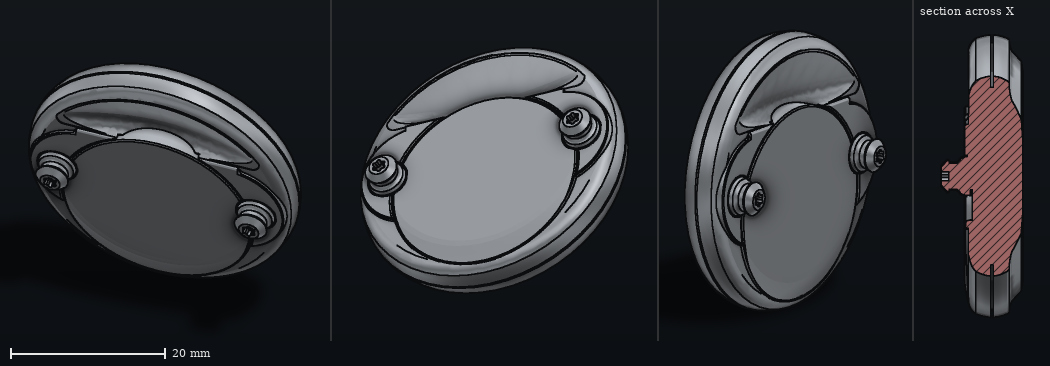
import cadquery as cq
import math


rim_radius = 18.335
shoulder_radius = 17.9
groove_floor_radius = 17.3
groove_width = 0.3
back_y = 4.01
back_flat_radius = 13.65
back_edge_radius = 14.9
back_edge_y = 3.8
back_step_radius = 16.2
back_step_y = 2.6
back_lip_radius = 17.7
back_lip_y = 2.25
back_step_sag = 0.1
back_shoulder_y = 1.95
front_shoulder_y = -2.1
front_radius = 16.45
front_y = -3.1
front_dome_sag = 0.16
rim_sag = 0.08

pad_y = -3.58
pad_root_y = -1.6
pad_height = pad_root_y - pad_y
ear_radius = 7.75
ear_offset = 9.94
ear_draft = 12.0
ear_chamfer = 0.15
bridge_half_width = 11.0
bridge_top_z = 9.0
ear_blend_radius = 0.8

scoop_rim_radius = 17.3
scoop_center_z = -1.1
scoop_slope = 2.5
scoop_bottom_z = 8.0
scoop_fillet = 1.97
scoop_bevel_width = 0.44
scoop_bevel_depth = 0.07
scoop_corner_radius = 1.2
scoop_lip_radius = 0.4
scoop_lip_half_width = 11.85

door_radius = 12.85
door_center_z = -3.8
door_chamfer = 0.2
door_root_y = 0.0
door_flat_radius = 13.4
door_crown_radius = 14.2
door_crown_y = -3.53
door_crown_sag = 0.02
door_gap = 0.2
door_gap_depth = 1.0

pin_offset = 13.53
pin_tip_y = -6.62
pin_recess_radius = 2.75
pin_recess_depth = 0.3
pin_root_y = -2.78
collar_base_radius = 2.6
collar_radius = 2.5
collar_straight_y = -3.8
collar_shoulder_radius = 2.38
collar_shoulder_y = -4.1
collar_round_sag = 0.06
neck_radius = 1.85
neck_y = -4.6
head_y = -5.52
head_ledge_radius = 2.06
head_radius = 2.2
head_widest_y = -5.8
tip_radius = 1.35

socket_core_radius = 0.72
socket_lobe_radius = 0.22
socket_lobe_offset = 0.68
socket_lobes = 6
socket_depth = 1.0

clearance = 1.0


def revolve_about_y(outline):
    return outline.close().revolve(360, (0, 0, 0), (0, 1, 0))


def disc(radius, x, z, start_y, end_y):
    """Cylinder along Y from start_y forward to end_y."""
    plane = cq.Workplane("XZ", origin=(x, start_y, z))
    return plane.circle(radius).extrude(start_y - end_y)


def make_housing():
    half_groove = groove_width / 2
    outline = (
        cq.Workplane("XY")
        .moveTo(0, back_y)
        .lineTo(back_flat_radius, back_y)
        .lineTo(back_edge_radius, back_edge_y)
        .lineTo(back_step_radius, back_step_y)
        .sagittaArc((back_lip_radius, back_lip_y), -back_step_sag)
        .lineTo(shoulder_radius, back_shoulder_y)
        .sagittaArc((rim_radius, half_groove), rim_sag)
        .lineTo(groove_floor_radius, half_groove)
        .lineTo(groove_floor_radius, -half_groove)
        .lineTo(rim_radius, -half_groove)
        .sagittaArc((shoulder_radius, front_shoulder_y), rim_sag)
        .sagittaArc((front_radius, front_y), front_dome_sag)
        .lineTo(0, front_y)
    )
    return revolve_about_y(outline)


def make_ear():
    """Drafted round ear centred on the Y axis, with a chamfered front edge."""
    face_radius = ear_radius - pad_height * math.tan(math.radians(ear_draft))
    outline = (
        cq.Workplane("XY")
        .moveTo(0, pad_root_y)
        .lineTo(ear_radius, pad_root_y)
        .lineTo(face_radius, pad_y + ear_chamfer)
        .lineTo(face_radius - ear_chamfer, pad_y)
        .lineTo(0, pad_y)
    )
    return revolve_about_y(outline)


def make_pad():
    """Two ears joined by a bridge that ends in the scoop."""
    bridge = cq.Workplane("XY").box(
        2 * bridge_half_width, pad_height, bridge_top_z, centered=(True, False, False)
    )
    pad = bridge.translate((0, pad_y, 0))
    ear = make_ear()
    for side in (-1, 1):
        pad = pad.union(ear.translate((side * ear_offset, 0, 0)))
    return pad


def above_scoop_bottom():
    """Large block filling everything above the bottom of the scoop."""
    size = 4 * rim_radius
    block = cq.Workplane("XY").box(size, size, size, centered=(True, True, False))
    return block.translate((0, 0, scoop_bottom_z))


def make_scoop():
    """Cone around Y cut level at the bottom, with its lower edge rounded."""
    overshoot = front_y - pad_y + clearance
    outline = (
        cq.Workplane("XY")
        .moveTo(0, front_y - overshoot)
        .lineTo(scoop_rim_radius + overshoot * scoop_slope, front_y - overshoot)
        .lineTo(0, front_y + scoop_rim_radius / scoop_slope)
    )
    cone = revolve_about_y(outline).translate((0, 0, scoop_center_z))
    scoop = cone.intersect(above_scoop_bottom())
    return scoop.faces("<Z").edges(">Y").fillet(scoop_fillet)


def make_scoop_mouth():
    """Shallow bevelled opening that breaks the edge of the scoop."""
    radius = scoop_rim_radius + scoop_bevel_width / 2
    floor_y = front_y + scoop_bevel_depth
    mouth = disc(radius, 0, scoop_center_z, floor_y, pad_y - clearance)
    mouth = mouth.intersect(above_scoop_bottom()).edges("|Y").fillet(scoop_corner_radius)
    return mouth.faces(">Y").edges().chamfer(scoop_bevel_depth, scoop_bevel_width)


def make_scoop_lip():
    """Cutter that rounds the pad edge along the bottom of the scoop."""
    lip_back_y = pad_y + scoop_lip_radius
    profile = (
        cq.Workplane("YZ", origin=(-scoop_lip_half_width, 0, 0))
        .moveTo(pad_y, scoop_bottom_z - scoop_lip_radius)
        .radiusArc((lip_back_y, scoop_bottom_z), scoop_lip_radius)
        .lineTo(lip_back_y, bridge_top_z)
        .lineTo(pad_y, bridge_top_z)
        .close()
    )
    return profile.extrude(2 * scoop_lip_half_width)


def make_door_opening():
    """Recess for the door, with a chamfered front edge."""
    radius = door_radius + door_gap
    well = disc(radius, 0, door_center_z, pad_y + door_gap_depth, pad_y)
    chamfer = (
        cq.Workplane("XZ", origin=(0, pad_y + door_chamfer, door_center_z))
        .circle(radius)
        .workplane(offset=door_chamfer)
        .circle(radius + door_chamfer)
        .loft()
    )
    return well.union(chamfer)


def make_door():
    """Round door, crowned where it runs down over the front shoulder."""
    outline = (
        cq.Workplane("XY")
        .moveTo(0, pad_y)
        .lineTo(door_flat_radius, pad_y)
        .lineTo(door_crown_radius, door_crown_y)
        .sagittaArc((front_radius, front_y), -door_crown_sag)
        .sagittaArc((shoulder_radius, front_shoulder_y), -front_dome_sag)
        .lineTo(shoulder_radius, door_root_y)
        .lineTo(0, door_root_y)
    )
    crown = revolve_about_y(outline)
    blank = disc(door_radius, 0, door_center_z, door_root_y, pad_y)
    return blank.faces("<Y").chamfer(door_chamfer).intersect(crown)


def make_socket():
    floor_y = pin_tip_y + socket_depth
    socket = disc(socket_core_radius, 0, 0, floor_y, pin_tip_y)
    for index in range(socket_lobes):
        angle = math.radians(90 + index * 360 / socket_lobes)
        x = socket_lobe_offset * math.cos(angle)
        z = socket_lobe_offset * math.sin(angle)
        socket = socket.union(disc(socket_lobe_radius, x, z, floor_y, pin_tip_y))
    return socket


def make_pin():
    """Snap pin on the Y axis, rooted inside the housing."""
    outline = (
        cq.Workplane("XY")
        .moveTo(0, pin_root_y)
        .lineTo(collar_base_radius, pin_root_y)
        .lineTo(collar_base_radius, pad_y)
        .lineTo(collar_radius, collar_straight_y)
        .lineTo(collar_shoulder_radius, collar_shoulder_y)
        .sagittaArc((neck_radius, neck_y), -collar_round_sag)
        .lineTo(neck_radius, head_y)
        .lineTo(head_ledge_radius, head_y)
        .lineTo(head_radius, head_widest_y)
        .lineTo(tip_radius, pin_tip_y)
        .lineTo(0, pin_tip_y)
    )
    return revolve_about_y(outline).cut(make_socket())


def blend_ears(pad):
    """Round the inside corners between the ears and the sides of the bridge."""
    corner_box = cq.selectors.BoxSelector(
        (-bridge_half_width - clearance, pad_y - clearance, scoop_bottom_z - 2 * clearance),
        (bridge_half_width + clearance, pad_root_y + clearance, scoop_bottom_z),
    )
    corners = pad.edges(corner_box)
    corners = corners.filter(lambda edge: edge.BoundingBox().ylen > pad_height / 2)
    return corners.fillet(ear_blend_radius)


body = make_housing().union(blend_ears(make_pad()))
for cutter in (make_scoop(), make_scoop_mouth(), make_scoop_lip(), make_door_opening()):
    body = body.cut(cutter)
body = body.union(make_door())

pin = make_pin()
for side in (-1, 1):
    pin_x = side * pin_offset
    recess = disc(pin_recess_radius, pin_x, 0, pad_y + pin_recess_depth, pad_y)
    body = body.cut(recess).union(pin.translate((pin_x, 0, 0)))

result = body